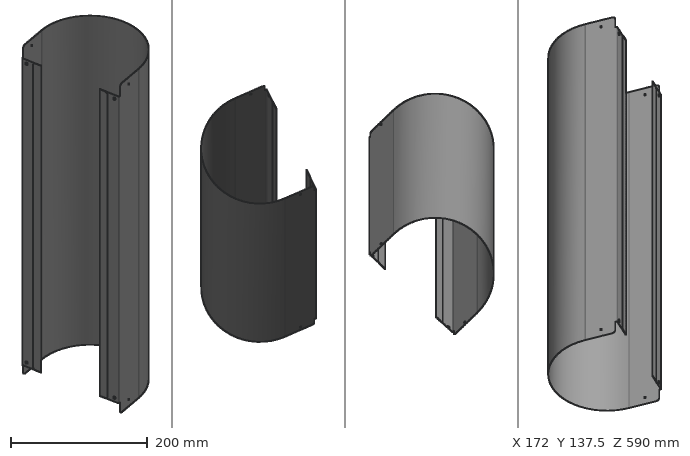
import cadquery as cq

length = 590.0
width = 172.0
depth = 137.5
sheet = 0.5

end_setback = 20.0
tab_width = 34.0
hem_start = 20.0
hem_corner_radius = 5.0
bend_outer_radius = 2 * sheet

wall_corner_radius = 5.0
wall_front_setback = 3.5

tab_hole_diameter = 4.0
tab_hole_from_side = 8.0
tab_hole_from_end = 27.0
wall_hole_diameter = 2.5
wall_hole_from_front = 26.0
wall_hole_from_end = 12.5

half_width = width / 2
front_y = -depth / 2
arch_center_y = depth / 2 - half_width
inner_radius = half_width - sheet
wall_front_y = front_y + wall_front_setback
tab_length = length - 2 * end_setback
bend_inner_radius = bend_outer_radius - sheet
tab_front_y = front_y + sheet
bend_end_y = tab_front_y + bend_outer_radius
fold_x = -half_width + tab_width - sheet


def make_shell():
    """Half-round sheet with two straight walls, front corners rounded."""
    shell = (
        cq.Workplane("XY", origin=(0, 0, -length / 2))
        .moveTo(-half_width, wall_front_y)
        .lineTo(-half_width, arch_center_y)
        .threePointArc((0, arch_center_y + half_width), (half_width, arch_center_y))
        .lineTo(half_width, wall_front_y)
        .lineTo(inner_radius, wall_front_y)
        .lineTo(inner_radius, arch_center_y)
        .threePointArc((0, arch_center_y + inner_radius), (-inner_radius, arch_center_y))
        .lineTo(-inner_radius, wall_front_y)
        .close()
        .extrude(length)
    )
    return shell.faces("<Y").edges("|X").fillet(wall_corner_radius)


def make_left_tab():
    """Tab folded inward from the left wall with a rounded bend."""
    bend_start_x = -half_width + bend_outer_radius
    wall_overlap_y = wall_front_y + wall_corner_radius
    return (
        cq.Workplane("XY", origin=(0, 0, -tab_length / 2))
        .moveTo(-half_width, wall_overlap_y)
        .lineTo(-half_width, bend_end_y)
        .radiusArc((bend_start_x, tab_front_y), -bend_outer_radius)
        .lineTo(fold_x, tab_front_y)
        .lineTo(fold_x, tab_front_y + sheet)
        .lineTo(bend_start_x, tab_front_y + sheet)
        .radiusArc((-inner_radius, bend_end_y), bend_inner_radius)
        .lineTo(-inner_radius, wall_overlap_y)
        .close()
        .extrude(tab_length)
    )


def make_left_hem():
    """Flap folded flat onto the front of the left tab, free corners rounded."""
    hem_free_x = -half_width + hem_start
    flap = (
        cq.Workplane("XY")
        .box(fold_x - hem_free_x, sheet, tab_length, centered=(False, False, True))
        .translate((hem_free_x, front_y, 0))
        .faces("<X")
        .edges("|Y")
        .fillet(hem_corner_radius)
    )
    fold = (
        cq.Workplane("XY", origin=(fold_x, tab_front_y, -tab_length / 2))
        .circle(sheet)
        .extrude(tab_length)
    )
    fold = fold.intersect(
        cq.Workplane("XY")
        .box(sheet, 2 * sheet, tab_length, centered=(False, True, True))
        .translate((fold_x, tab_front_y, 0))
    )
    return flap.union(fold)


def make_tab_holes():
    """Cutters through both tabs, beside the hems, near each end."""
    hole_x = half_width - tab_hole_from_side
    hole_z = length / 2 - tab_hole_from_end
    return (
        cq.Workplane("XZ", origin=(0, tab_front_y, 0))
        .rect(2 * hole_x, 2 * hole_z, forConstruction=True)
        .vertices()
        .circle(tab_hole_diameter / 2)
        .extrude(-sheet)
    )


def make_wall_holes():
    """Cutters across both straight walls, near each end."""
    hole_y = front_y + wall_hole_from_front
    hole_z = length / 2 - wall_hole_from_end
    return (
        cq.Workplane("YZ")
        .pushPoints([(hole_y, -hole_z), (hole_y, hole_z)])
        .circle(wall_hole_diameter / 2)
        .extrude(half_width, both=True)
    )


left_flange = make_left_tab().union(make_left_hem())
right_flange = left_flange.mirror("YZ")

result = make_shell().union(left_flange).union(right_flange)
result = result.cut(make_tab_holes()).cut(make_wall_holes())